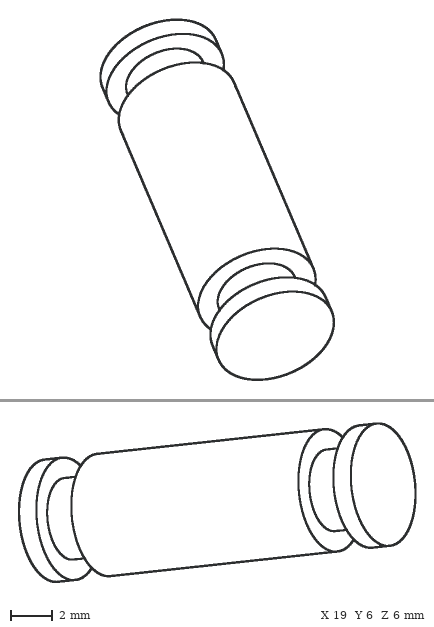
import cadquery as cq

pin_diameter = 6.0
groove_diameter = 4.0
pin_length = 19.0
end_flange_width = 1.0
groove_width = 2.0


def make_pin_body():
    """Full-length cylinder centred on the origin, axis along X."""
    return cq.Workplane("YZ").circle(pin_diameter / 2).extrude(pin_length / 2, both=True)


def make_groove_ring(start_x):
    """Ring of material to remove, running from start_x towards +X."""
    return (
        cq.Workplane("YZ", origin=(start_x, 0, 0))
        .circle(pin_diameter / 2)
        .circle(groove_diameter / 2)
        .extrude(groove_width)
    )


left_groove_start = -pin_length / 2 + end_flange_width
right_groove_start = pin_length / 2 - end_flange_width - groove_width

result = make_pin_body()
for groove_start in (left_groove_start, right_groove_start):
    result = result.cut(make_groove_ring(groove_start))